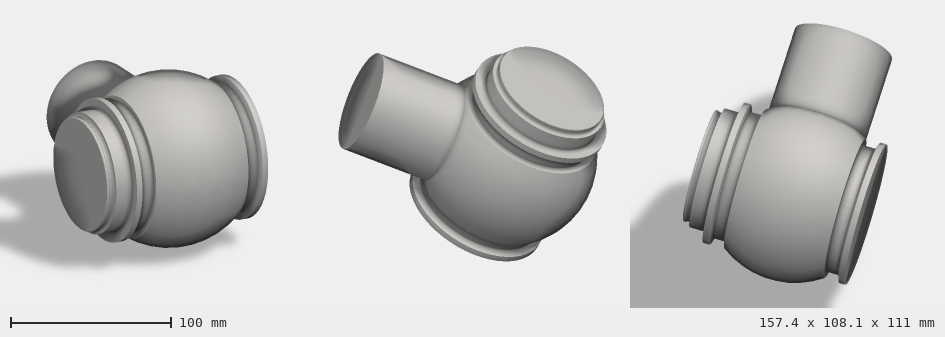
import cadquery as cq
import math

total_length = 157.4
ball_radius = 55.5
flat_offset = 32.5
stem_flat_offset = 45.3

stem_diameter = 63.5
stem_fillet = 0.5

neck_radius = 81.8 / 2
neck_fillet = 0.8
flange_radius = 91.0 / 2
flange_face = 46.1
flange_rim = 4.0
flange_taper = 1.3
taper_start_radius = neck_radius + neck_fillet

spigot_radius = 77.1 / 2
spigot_length = 10.9
spigot_fillet = 1.0
groove_radius = 70.7 / 2
lip_radius = 72.2 / 2
groove_length = 3.6
groove_fillet = 1.9
groove_slope = lip_radius - groove_radius
lip_length = 1.4
lip_chamfer = 0.4


def make_ball():
    """Sphere with two flats across Y and one flat facing the stem."""
    flat_radius = math.sqrt(ball_radius**2 - flat_offset**2)
    ball = (
        cq.Workplane("XY")
        .moveTo(0, -flat_offset)
        .lineTo(flat_radius, -flat_offset)
        .threePointArc((ball_radius, 0), (flat_radius, flat_offset))
        .lineTo(0, flat_offset)
        .close()
        .revolve(360, (0, 0, 0), (0, 1, 0))
    )
    stem_side = (
        cq.Workplane("YZ")
        .workplane(offset=-stem_flat_offset)
        .rect(2 * ball_radius, 2 * ball_radius)
        .extrude(stem_flat_offset - ball_radius)
    )
    return ball.cut(stem_side)


def make_stem():
    """Round stem from the ball centre out to the -X end."""
    stem_end = total_length - ball_radius
    stem = cq.Workplane("YZ").circle(stem_diameter / 2).extrude(-stem_end)
    foot = (
        cq.Workplane("YZ")
        .workplane(offset=-stem_flat_offset)
        .circle(stem_diameter / 2 + stem_fillet)
        .extrude(-stem_fillet, taper=45)
    )
    return stem.union(foot)


def make_flange():
    """Neck and flange turned about Y, on the -Y side."""
    rim_back = flange_face - flange_rim
    taper_start = rim_back - flange_taper
    profile = (
        cq.Workplane("XY")
        .moveTo(0, 0)
        .lineTo(neck_radius + neck_fillet, 0)
        .lineTo(neck_radius + neck_fillet, -flat_offset)
        .radiusArc((neck_radius, -flat_offset - neck_fillet), -neck_fillet)
        .lineTo(neck_radius, -taper_start + neck_fillet)
        .radiusArc((taper_start_radius, -taper_start), -neck_fillet)
        .lineTo(flange_radius, -rim_back)
        .lineTo(flange_radius, -flange_face)
        .lineTo(0, -flange_face)
        .close()
    )
    return profile.revolve(360, (0, 0, 0), (0, 1, 0))


def make_spigot():
    """Stepped spigot with a groove behind its end lip, turned about Y."""
    shoulder = flange_face + spigot_length
    lip_start = shoulder + groove_length
    end = lip_start + lip_length
    profile = (
        cq.Workplane("XY")
        .moveTo(0, -flange_face)
        .lineTo(spigot_radius + spigot_fillet, -flange_face)
        .radiusArc((spigot_radius, -flange_face - spigot_fillet), -spigot_fillet)
        .lineTo(spigot_radius, -shoulder)
        .lineTo(groove_radius + groove_fillet, -shoulder)
        .radiusArc((groove_radius, -shoulder - groove_fillet), -groove_fillet)
        .lineTo(groove_radius, -lip_start + groove_slope)
        .lineTo(lip_radius, -lip_start)
        .lineTo(lip_radius, -end + lip_chamfer)
        .lineTo(lip_radius - lip_chamfer, -end)
        .lineTo(0, -end)
        .close()
    )
    return profile.revolve(360, (0, 0, 0), (0, 1, 0))


front_flange = make_flange()
back_flange = front_flange.mirror("XZ")
result = (
    make_ball()
    .union(make_stem())
    .union(front_flange)
    .union(back_flange)
    .union(make_spigot())
)